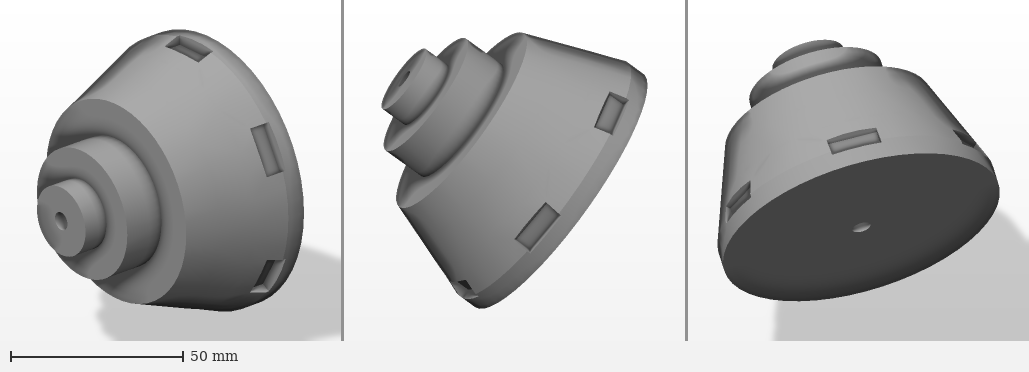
import cadquery as cq

rim_radius = 41.75
rim_front = 6.0
cone_front_radius = 31.0
cone_front = 35.9
hub_radius = 40.0 / 2
hub_front = 49.0
spigot_radius = 21.5 / 2
spigot_front = 57.0
bore_radius = 5.5 / 2

pocket_count = 6
pocket_width = 14.95
pocket_rear = 4.9
pocket_floor_front = 10.0
pocket_floor_height = 38.1
pocket_wall_run = 2.3
pocket_wall_rise = 3.7


def make_body():
    """Revolve the stepped body and its through bore about the Y axis."""
    return (
        cq.Workplane("XY")
        .moveTo(bore_radius, 0)
        .lineTo(rim_radius, 0)
        .lineTo(rim_radius, -rim_front)
        .lineTo(cone_front_radius, -cone_front)
        .lineTo(hub_radius, -cone_front)
        .lineTo(hub_radius, -hub_front)
        .lineTo(spigot_radius, -hub_front)
        .lineTo(spigot_radius, -spigot_front)
        .lineTo(bore_radius, -spigot_front)
        .close()
        .revolve(360, (0, 0, 0), (0, 1, 0))
    )


def make_pocket_cutter():
    """Make the cutter for the pocket at +Z, reaching beyond the rim."""
    top = pocket_floor_height + pocket_wall_rise
    clear_top = top + 0.8
    return (
        cq.Workplane("YZ")
        .moveTo(-pocket_rear, pocket_floor_height)
        .lineTo(-pocket_floor_front, pocket_floor_height)
        .lineTo(-pocket_floor_front - pocket_wall_run, top)
        .lineTo(-pocket_floor_front - pocket_wall_run, clear_top)
        .lineTo(-pocket_rear, clear_top)
        .close()
        .extrude(pocket_width / 2, both=True)
    )


result = make_body()
pocket_cutter = make_pocket_cutter()
for index in range(pocket_count):
    angle = index * 360 / pocket_count
    result = result.cut(pocket_cutter.rotate((0, 0, 0), (0, 1, 0), angle))